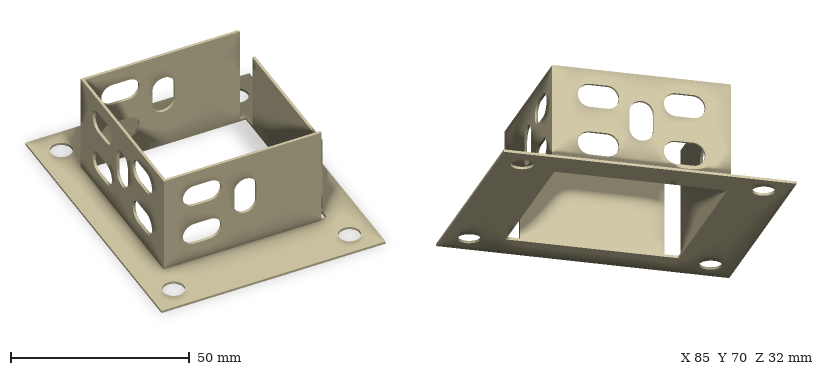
import cadquery as cq

plate_length = 85.0
plate_width = 70.0
plate_thickness = 0.75
mount_hole_diameter = 6.5
mount_hole_pitch_x = 70.0
mount_hole_pitch_y = 55.0

total_height = 32.0
wall = 0.85
collar_x = 51.85
collar_y = 52.0
opening_x = collar_x - 2 * wall
opening_y = collar_y - 2 * wall
half_x = collar_x / 2
half_y = collar_y / 2
side_wall_end = 23.3
rear_tab_width = 42.0
rear_tab_top = 25.1

slot_length = 12.0
slot_width = 7.0
upright_slot_z = 17.9
front_slot_x = 12.5
front_slot_heights = (9.5, 24.0)
side_slot_y = -14.0
side_slot_heights = (10.0, 23.55)
side_upright_slot_y = -0.5


def box_between(x0, x1, y0, y1, z0, z1):
    """Box given by its limits along each axis."""
    box = cq.Workplane("XY").box(x1 - x0, y1 - y0, z1 - z0, centered=False)
    return box.translate((x0, y0, z0))


def slot_cutter(plane, centers, angle, depth):
    """Rounded slots cut symmetrically about a plane through the origin."""
    return (
        cq.Workplane(plane)
        .pushPoints(centers)
        .slot2D(slot_length, slot_width, angle)
        .extrude(depth, both=True)
    )


def make_plate():
    plate = cq.Workplane("XY").box(
        plate_length, plate_width, plate_thickness, centered=(True, True, False)
    )
    return (
        plate.faces(">Z").workplane()
        .rect(opening_x, opening_y).cutThruAll()
        .faces(">Z").workplane()
        .rect(mount_hole_pitch_x, mount_hole_pitch_y, forConstruction=True).vertices()
        .hole(mount_hole_diameter)
    )


def make_front_wall():
    panel = box_between(-half_x, half_x, -half_y, -half_y + wall, 0, total_height)
    flat_centers = [(x, z) for x in (-front_slot_x, front_slot_x) for z in front_slot_heights]
    panel = panel.cut(slot_cutter("XZ", flat_centers, 0, collar_y))
    return panel.cut(slot_cutter("XZ", [(0, upright_slot_z)], 90, collar_y))


def make_side_walls():
    left = box_between(-half_x, -half_x + wall, -half_y, side_wall_end, 0, total_height)
    walls = left.union(left.mirror("YZ"))
    flat_centers = [(side_slot_y, z) for z in side_slot_heights]
    walls = walls.cut(slot_cutter("YZ", flat_centers, 0, collar_x))
    return walls.cut(slot_cutter("YZ", [(side_upright_slot_y, upright_slot_z)], 90, collar_x))


def make_rear_tab():
    return box_between(-rear_tab_width / 2, rear_tab_width / 2, half_y - wall, half_y, 0, rear_tab_top)


result = make_plate().union(make_front_wall()).union(make_side_walls()).union(make_rear_tab())